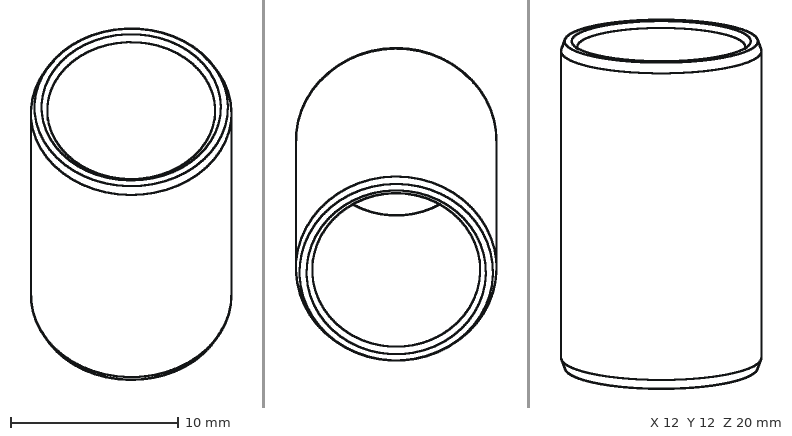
import cadquery as cq
import math

length = 20.0
outer_radius = 6.0
bore_radius = 5.02

outer_chamfer_height = 0.6
outer_chamfer_angle = 20.0
outer_chamfer_width = outer_chamfer_height * math.tan(math.radians(outer_chamfer_angle))
bore_chamfer = 0.35

wall_section = [
    (bore_radius, bore_chamfer),
    (bore_radius + bore_chamfer, 0),
    (outer_radius - outer_chamfer_width, 0),
    (outer_radius, outer_chamfer_height),
    (outer_radius, length - outer_chamfer_height),
    (outer_radius - outer_chamfer_width, length),
    (bore_radius + bore_chamfer, length),
    (bore_radius, length - bore_chamfer),
]

result = (
    cq.Workplane("XZ")
    .polyline(wall_section)
    .close()
    .revolve(360, (0, 0, 0), (0, 1, 0))
)